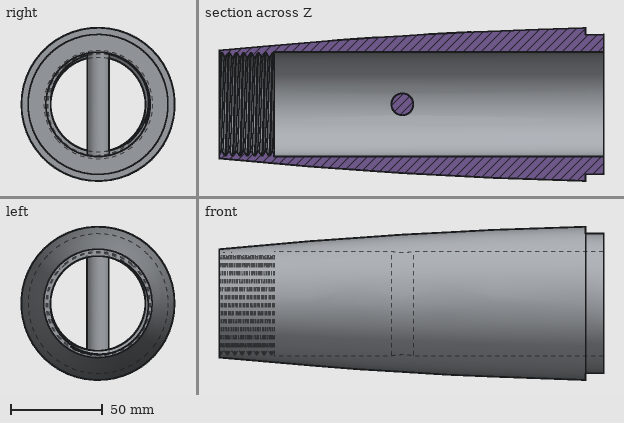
import cadquery as cq
import math

body_length = 200.0
mouth_radius = 29.6
middle_radius = 37.6
back_radius = 41.9

collar_length = 10.0
collar_radius = 38.2
total_length = body_length + collar_length

thread_pitch = 4.0
thread_major_radius = 28.0
thread_length = 30.0
thread_lead_in = 1.25
thread_start_angle = 118.0
flank_angle = 30.0
thread_depth = 5 / 8 * thread_pitch * math.cos(math.radians(flank_angle))
root_width = thread_pitch / 8
thread_minor_radius = thread_major_radius - thread_depth
groove_overlap = 0.2

cavity_clearance = 0.5
cavity_radius = thread_major_radius + cavity_clearance

bar_diameter = 12.0
bar_position = body_length / 2
bar_embedding = 0.5


def x_cylinder(radius, start, end):
    return cq.Workplane("YZ").workplane(offset=start).circle(radius).extrude(end - start)


def make_shell():
    """Curved taper and stepped collar, with the thread hole opening into the clear bore."""
    outer = (
        cq.Workplane("XY")
        .lineTo(0, -mouth_radius)
        .threePointArc((body_length / 2, -middle_radius), (body_length, -back_radius))
        .lineTo(body_length, -collar_radius)
        .lineTo(total_length, -collar_radius)
        .lineTo(total_length, 0)
        .close()
        .revolve(360, (0, 0, 0), (1, 0, 0))
    )
    thread_hole = x_cylinder(thread_minor_radius, 0, total_length)
    cavity = x_cylinder(cavity_radius, thread_length, total_length)
    return outer.cut(thread_hole).cut(cavity)


def make_thread_groove():
    """Helical V groove with a flat root, running out into the clear bore."""
    inner_radius = thread_minor_radius - groove_overlap
    root_half_width = root_width / 2
    flank_width = (thread_depth + groove_overlap) * math.tan(math.radians(flank_angle))
    inner_half_width = root_half_width + flank_width
    helix_length = thread_lead_in + thread_length + inner_half_width
    helix = cq.Wire.makeHelix(thread_pitch, helix_length, inner_radius)
    groove = (
        cq.Workplane("XZ")
        .moveTo(inner_radius, -inner_half_width)
        .lineTo(thread_major_radius, -root_half_width)
        .lineTo(thread_major_radius, root_half_width)
        .lineTo(inner_radius, inner_half_width)
        .close()
        .sweep(cq.Workplane(helix), isFrenet=True)
    )
    groove = groove.rotate((0, 0, 0), (1, 1, 1), 120)
    groove = groove.rotate((0, 0, 0), (1, 0, 0), thread_start_angle)
    return groove.translate((-thread_lead_in, 0, 0))


def make_crossbar():
    """Round bar from wall to wall, its ends let into the wall."""
    return (
        cq.Workplane("XY")
        .center(bar_position, 0)
        .circle(bar_diameter / 2)
        .extrude(cavity_radius + bar_embedding, both=True)
    )


result = make_shell().cut(make_thread_groove()).union(make_crossbar())